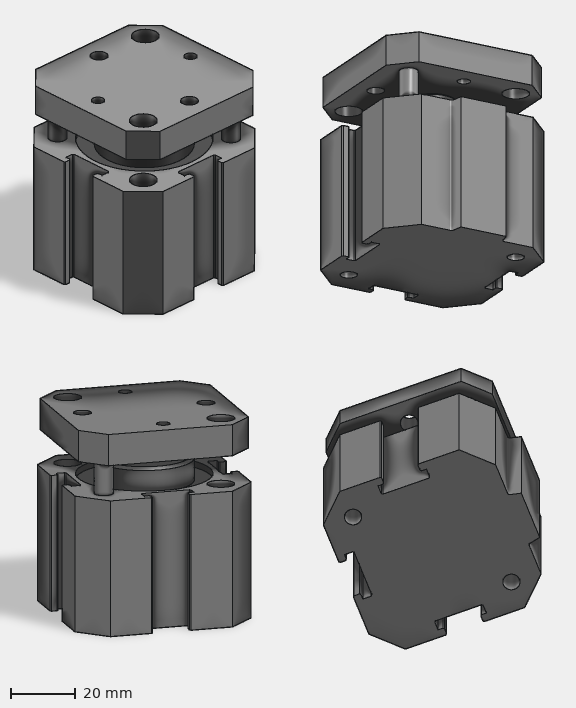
import cadquery as cq

total_height = 64.5
housing_height = 43.5
plate_thickness = 10.0
plate_bottom = total_height - plate_thickness
gap = plate_bottom - housing_height

housing_width = 57.0
housing_corner = 8.8
housing_half = housing_width / 2

total_depth = 61.0
rib_height = total_depth - housing_width
rib_tip_width = 16.0
rib_root_width = 17.8
rib_root_fillet = 0.8

slot_mouth_width = 12.0
slot_inner_width = 16.0
slot_lip = 2.5
slot_depth = 5.6
slot_lip_chamfer = 0.4
slot_floor_chamfer = 0.4

recess_diameter = 42.5
recess_depth = 2.0
recess_floor = housing_height - recess_depth
boss_diameter = 31.0
boss_height = 6.0
boss_chamfer = 0.95
boss_top = housing_height + boss_height

corner_offset = 18.95
mounting_hole_diameter = 5.3
counterbore_diameter = 8.5
counterbore_depth = 5.4

plate_width = 55.0
plate_corner = 7.5
access_hole_diameter = 8.6
fixing_hole_offset = 20.0
fixing_hole_diameter_x = 5.5
fixing_hole_diameter_y = 4.1

guide_rod_diameter = 6.0
piston_rod_diameter = 16.0
piston_rod_chamfer = 0.5
wrench_flat_width = 13.0
wrench_flat_start = boss_top + 1.0

mounting_points = [(-corner_offset, corner_offset), (corner_offset, -corner_offset)]
guide_rod_points = [(-corner_offset, -corner_offset), (corner_offset, corner_offset)]


def square_prism(width, corner, bottom, height):
    """Square block with its four vertical edges chamfered."""
    block = cq.Workplane("XY").workplane(offset=bottom).rect(width, width).extrude(height)
    return block.edges("|Z").chamfer(corner)


def cylinders(points, diameter, bottom, height):
    """One vertical cylinder at each of the points."""
    plane = cq.Workplane("XY").workplane(offset=bottom)
    return plane.pushPoints(points).circle(diameter / 2).extrude(height)


def t_slot():
    """T-slot cutter for the -Y face, with broken edges at the lips and at the floor."""
    face = -housing_half
    lip_inside = face + slot_lip
    floor = face + slot_depth
    mouth = slot_mouth_width / 2
    inner = slot_inner_width / 2
    edge = slot_lip_chamfer
    right_side = [
        (mouth + edge, face),
        (mouth, face + edge),
        (mouth, lip_inside - edge),
        (mouth + edge, lip_inside),
        (inner, lip_inside),
        (inner, floor - slot_floor_chamfer),
        (inner - slot_floor_chamfer, floor),
    ]
    left_side = [(-x, y) for x, y in reversed(right_side)]
    return cq.Workplane("XY").polyline(right_side + left_side).close().extrude(housing_height)


def rib():
    """Tapered rib on the +Y face, blended into it by a fillet on each side."""
    root = housing_half
    tip = housing_half + rib_height
    outline = [
        (-rib_root_width / 2, root),
        (-rib_tip_width / 2, tip),
        (rib_tip_width / 2, tip),
        (rib_root_width / 2, root),
    ]
    return cq.Workplane("XY").polyline(outline).close().extrude(housing_height)


def boss():
    """Round boss rising from the recess floor, with a chamfered rim."""
    body = cylinders([(0, 0)], boss_diameter, recess_floor, boss_top - recess_floor)
    return body.faces(">Z").edges().chamfer(boss_chamfer)


def make_housing():
    """Housing with rib, T-slots, recessed boss and counterbored mounting holes."""
    housing = square_prism(housing_width, housing_corner, 0, housing_height).union(rib())
    for side in (-1, 1):
        root_edge = cq.NearestToPointSelector((side * rib_root_width / 2, housing_half, housing_height / 2))
        housing = housing.edges("|Z").edges(root_edge).fillet(rib_root_fillet)
    for angle in (-90, 0, 90):
        housing = housing.cut(t_slot().rotate((0, 0, 0), (0, 0, 1), angle))
    housing = housing.cut(cylinders([(0, 0)], recess_diameter, recess_floor, recess_depth))
    housing = housing.union(boss())
    through_holes = cylinders(mounting_points, mounting_hole_diameter, 0, housing_height)
    counterbore_floor = housing_height - counterbore_depth
    counterbores = cylinders(mounting_points, counterbore_diameter, counterbore_floor, counterbore_depth)
    return housing.cut(through_holes).cut(counterbores)


def make_plate():
    """Plate with two access holes over the mounting holes and four fixing holes."""
    plate = square_prism(plate_width, plate_corner, plate_bottom, plate_thickness)
    fixing_points_x = [(-fixing_hole_offset, 0), (fixing_hole_offset, 0)]
    fixing_points_y = [(0, -fixing_hole_offset), (0, fixing_hole_offset)]
    holes = [
        (mounting_points, access_hole_diameter),
        (fixing_points_x, fixing_hole_diameter_x),
        (fixing_points_y, fixing_hole_diameter_y),
    ]
    for points, diameter in holes:
        plate = plate.cut(cylinders(points, diameter, plate_bottom, plate_thickness))
    return plate


def make_piston_rod():
    """Piston rod with a chamfered end and two wrench flats facing -X and +X."""
    rod = cylinders([(0, 0)], piston_rod_diameter, boss_top, plate_bottom - boss_top)
    rod = rod.faces(">Z").edges().chamfer(piston_rod_chamfer)
    collar = cylinders([(0, 0)], piston_rod_diameter, boss_top, wrench_flat_start - boss_top)
    flat_bar = (
        cq.Workplane("XY")
        .workplane(offset=boss_top)
        .rect(wrench_flat_width, piston_rod_diameter)
        .extrude(plate_bottom - boss_top)
    )
    return rod.intersect(flat_bar.union(collar))


def make_moving_plate():
    """Plate with its guide rods and piston rod, seated on the housing and its boss."""
    guide_rods = cylinders(guide_rod_points, guide_rod_diameter, housing_height, gap)
    return make_plate().union(guide_rods).union(make_piston_rod())


housing = make_housing()
moving_plate = make_moving_plate()

result = cq.Compound.makeCompound([*housing.solids().vals(), *moving_plate.solids().vals()])